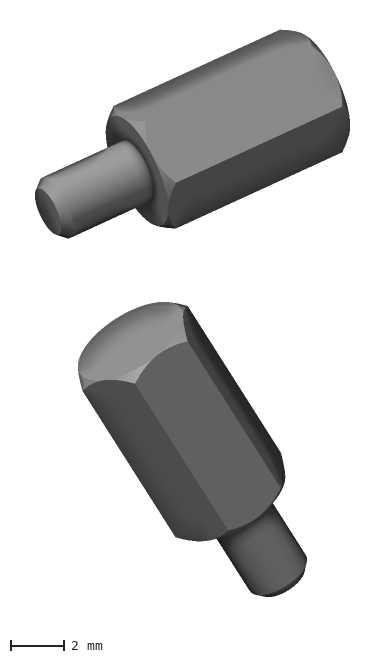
import cadquery as cq
import math

total_length = 11.9
across_flats = 4.5
body_length = 8.0
stud_length = total_length - body_length
stud_diameter = 2.5
tip_diameter = 1.9
tip_length = 0.36

across_corners = across_flats / math.cos(math.radians(30))
corner_bevel = (across_corners - across_flats) / 2


def hex_body():
    """Hexagonal bar from Y = 0 to body_length, with corners bevelled at both ends."""
    bar = (
        cq.Workplane("XZ")
        .transformed(rotate=(0, 0, 90))
        .polygon(6, across_corners)
        .extrude(-body_length)
    )
    flat_radius = across_flats / 2
    corner_radius = across_corners / 2
    envelope = (
        cq.Workplane("XY")
        .moveTo(0, 0)
        .lineTo(flat_radius, 0)
        .lineTo(corner_radius, corner_bevel)
        .lineTo(corner_radius, body_length - corner_bevel)
        .lineTo(flat_radius, body_length)
        .lineTo(0, body_length)
        .close()
        .revolve(360, (0, 0, 0), (0, 1, 0))
    )
    return bar.intersect(envelope)


def stud():
    """Plain round stud with a conical tip."""
    stud_radius = stud_diameter / 2
    return (
        cq.Workplane("XY")
        .moveTo(0, 0)
        .lineTo(stud_radius, 0)
        .lineTo(stud_radius, tip_length - stud_length)
        .lineTo(tip_diameter / 2, -stud_length)
        .lineTo(0, -stud_length)
        .close()
        .revolve(360, (0, 0, 0), (0, 1, 0))
    )


result = hex_body().union(stud())